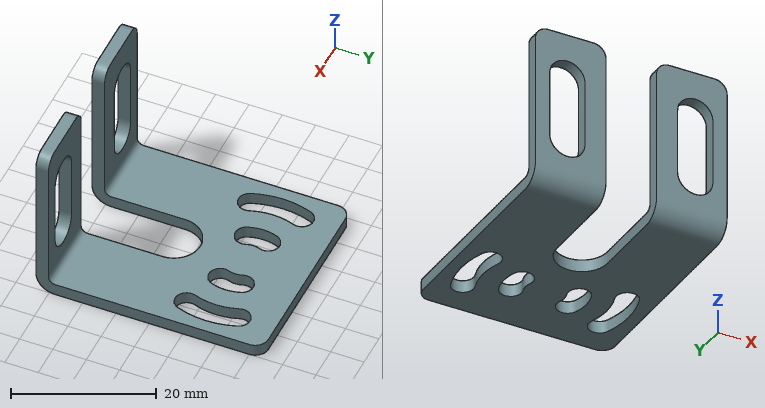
import cadquery as cq
import math

width = 30.0
depth = 34.0
height = 25.0
thickness = 1.9
bend_inner_radius = 1.0
bend_outer_radius = bend_inner_radius + thickness
corner_radius = 2.0

notch_width = 7.9
notch_depth = 18.0

tab_slot_spacing = 20.0
tab_slot_width = 5.5
tab_slot_length = 15.5
tab_slot_center_z = 13.0

arc_center_y = 24.6
arc_slot_width = 3.4
arc_slot_radii = (4.75, 11.4)
arc_half_angle = 20.0


def make_bent_sheet():
    """L-shaped side profile with a rounded bend, extruded across the full width."""
    profile = (
        cq.Workplane("YZ")
        .moveTo(depth, 0)
        .lineTo(bend_outer_radius, 0)
        .radiusArc((0, bend_outer_radius), bend_outer_radius)
        .lineTo(0, height)
        .lineTo(thickness, height)
        .lineTo(thickness, bend_outer_radius)
        .radiusArc((bend_outer_radius, thickness), -bend_inner_radius)
        .lineTo(depth, thickness)
        .close()
    )
    return profile.extrude(width / 2, both=True)


def make_notch():
    """Cutter open at the front and ending in a half circle, through the full height."""
    end_radius = notch_width / 2
    straight_depth = notch_depth - end_radius
    return (
        cq.Workplane("XY")
        .moveTo(-end_radius, 0)
        .lineTo(-end_radius, straight_depth)
        .threePointArc((0, notch_depth), (end_radius, straight_depth))
        .lineTo(end_radius, 0)
        .close()
        .extrude(height)
    )


def make_tab_slots():
    """Upright round-ended cutters through both tabs."""
    half_spacing = tab_slot_spacing / 2
    return (
        cq.Workplane("XZ")
        .pushPoints([(-half_spacing, tab_slot_center_z), (half_spacing, tab_slot_center_z)])
        .slot2D(tab_slot_length, tab_slot_width, 90)
        .extrude(-thickness)
    )


def make_arc_slot(mid_radius, direction):
    """Curved cutter with round ends, centred on the given direction in degrees."""

    def polar(radius, angle):
        radians = math.radians(direction + angle)
        return (radius * math.cos(radians), arc_center_y + radius * math.sin(radians))

    outer_radius = mid_radius + arc_slot_width / 2
    inner_radius = mid_radius - arc_slot_width / 2
    tip_angle = math.degrees(2 * math.asin(arc_slot_width / 4 / mid_radius))
    return (
        cq.Workplane("XY")
        .moveTo(*polar(outer_radius, -arc_half_angle))
        .threePointArc(polar(outer_radius, 0), polar(outer_radius, arc_half_angle))
        .threePointArc(polar(mid_radius, arc_half_angle + tip_angle), polar(inner_radius, arc_half_angle))
        .threePointArc(polar(inner_radius, 0), polar(inner_radius, -arc_half_angle))
        .threePointArc(polar(mid_radius, -arc_half_angle - tip_angle), polar(outer_radius, -arc_half_angle))
        .close()
        .extrude(thickness)
    )


bracket = make_bent_sheet().cut(make_notch())

bracket = bracket.faces(">Y").edges("|Z").fillet(corner_radius)
bracket = bracket.faces(">Z").edges("|Y").fillet(corner_radius)

bracket = bracket.cut(make_tab_slots())
for slot_radius in arc_slot_radii:
    for slot_direction in (0, 180):
        bracket = bracket.cut(make_arc_slot(slot_radius, slot_direction))

result = bracket